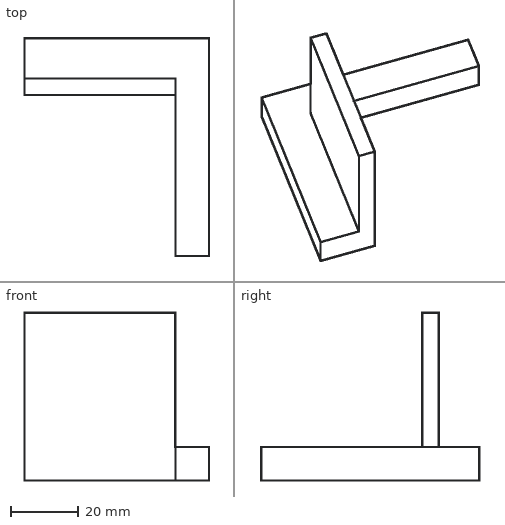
import cadquery as cq

length_x = 55.0
length_y = 65
height = 50.0

bar_width = 10.0
base_height = 10.0
plate_thickness = 5.0
ledge_depth = 12.0

plate_width = length_x - bar_width
plate_front_y = length_y - ledge_depth - plate_thickness


def corner_box(x, y, size_x, size_y, size_z):
    """Box standing on Z = 0 with its lowest X and Y corner at (x, y)."""
    return cq.Workplane("XY").box(size_x, size_y, size_z, centered=False).translate((x, y, 0))


rear_block = corner_box(0, plate_front_y, length_x, length_y - plate_front_y, base_height)
side_bar = corner_box(plate_width, 0, bar_width, length_y, base_height)

plate = corner_box(0, plate_front_y, plate_width, plate_thickness, height)

result = rear_block.union(side_bar).union(plate).clean()